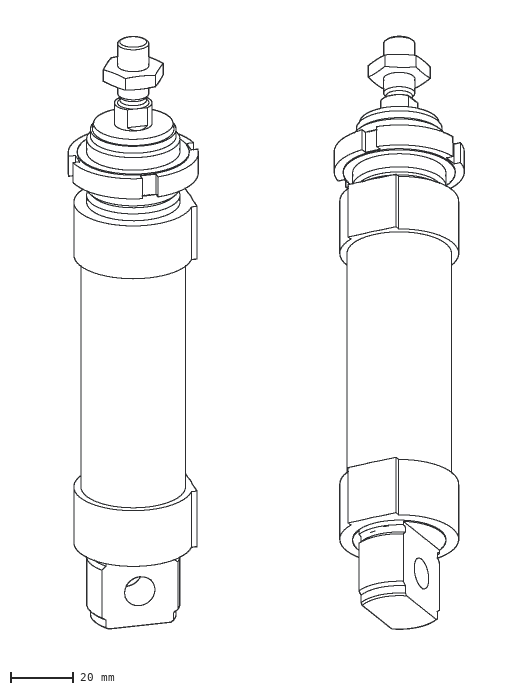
import cadquery as cq
import math


THREAD_DIA = 30.0
THREAD_RELIEF_DIA = 27.6
ROD_DIA = 12.0
ROD_THREAD_DIA = 10.0
FACE_STEP = 0.6

CAP_DIA = 38.3
TUBE_DIA = 33.7
TONGUE_THICKNESS = 16.1
PIVOT_HOLE_DIA = 10.0
PIVOT_Z = 12.0
PORT_PAD_WIDTH = 17.3
PORT_PAD_REACH = 19.0
NOSE_DIA = 26.2
NOSE_TIP_DIA = 25.5
GROOVE_FILLET = 0.6
SHOULDER_BOTTOM = 3.2
SHOULDER_TOP = 4.2
REAR_THREAD_TOP = 21.0
REAR_GROOVE_BOTTOM = 22.2
REAR_GROOVE_TOP = 24.2
TONGUE_TOP = 25.4
REAR_CAP_BOTTOM = 25.8
REAR_CAP_TOP = 45.3
FRONT_CAP_BOTTOM = 126.7
FRONT_CAP_TOP = 145.3
FRONT_GROOVE_BOTTOM = 147.7
FRONT_GROOVE_TOP = 149.3
FRONT_THREAD_BOTTOM = 150.5
FRONT_THREAD_TOP = 167.5
BEARING_BOTTOM = 168.5
BEARING_STEP_Z = 170.9
NOSE_CHAMFER_Z = 171.9
BEARING_TOP = 172.9

NUT_DIA = 42.0
NUT_FACE_DIA = 36.0
NUT_BOTTOM = 155.2
NUT_HEIGHT = 7.9
NUT_FACE_STEP = 0.5
SLOT_WIDTH = 5.2
SLOT_FLOOR_RADIUS = 18.5
SLOT_COUNT = 4

ROD_TOP = 201.5
ROD_TIP_DIA = 8.7
ROD_NECK_DIA = 8.5
ROD_FLATS = 10.0
ROD_FLATS_BOTTOM = 173.9
ROD_SHOULDER_Z = 180.1
ROD_NECK_BOTTOM = 181.0
ROD_NECK_TOP = 182.4
ROD_THREAD_BOTTOM = 183.4

LOCK_NUT_FLATS = 17.3
LOCK_NUT_BOTTOM = 188.5
LOCK_NUT_HEIGHT = 4.8
LOCK_NUT_FACE_DIA = 16.3
LOCK_NUT_CHAMFER = 0.5


def turned(profile):
    """Solid of revolution about Z from (diameter, z) points, closed along the axis."""
    points = [(diameter / 2, z) for diameter, z in profile]
    outline = [(0, points[0][1])] + points + [(0, points[-1][1])]
    return cq.Workplane("XZ").polyline(outline).close().revolve(360, (0, 0), (0, 1))


def cylinder(diameter, bottom, top):
    return cq.Workplane("XY").workplane(offset=bottom).circle(diameter / 2).extrude(top - bottom)


def block(size_x, size_y, bottom, top):
    return cq.Workplane("XY").workplane(offset=bottom).rect(size_x, size_y).extrude(top - bottom)


def groove_fillet(wall_z, direction):
    """Ring filling the root corner of a relief groove; direction points from its wall into the groove."""
    root = THREAD_RELIEF_DIA / 2
    reach = direction * GROOVE_FILLET
    bow = 1 - math.sqrt(0.5)
    return (
        cq.Workplane("XZ")
        .moveTo(root, wall_z + reach)
        .threePointArc((root + bow * GROOVE_FILLET, wall_z + bow * reach), (root + GROOVE_FILLET, wall_z))
        .lineTo(root - GROOVE_FILLET, wall_z)
        .lineTo(root - GROOVE_FILLET, wall_z + reach)
        .close()
        .revolve(360, (0, 0), (0, 1))
    )


def port_pad(bottom, top):
    """Pad that squares off the +Y side of a cap, with a flat on each side of the crown."""
    pad = block(PORT_PAD_WIDTH, PORT_PAD_REACH, bottom, top)
    return pad.translate((0, PORT_PAD_REACH / 2, 0))


def make_tongue():
    stud = turned([
        (NOSE_DIA, 0),
        (THREAD_RELIEF_DIA, FACE_STEP),
        (THREAD_RELIEF_DIA, SHOULDER_BOTTOM),
        (THREAD_DIA, SHOULDER_TOP),
        (THREAD_DIA, REAR_THREAD_TOP),
        (THREAD_RELIEF_DIA, REAR_GROOVE_BOTTOM),
        (THREAD_RELIEF_DIA, REAR_GROOVE_TOP),
        (THREAD_DIA, REAR_GROOVE_TOP),
        (THREAD_DIA, TONGUE_TOP),
    ])
    stud = stud.union(groove_fillet(REAR_GROOVE_TOP, -1))
    tongue = stud.intersect(block(TONGUE_THICKNESS, CAP_DIA, 0, TONGUE_TOP))
    pivot_hole = (
        cq.Workplane("YZ").center(0, PIVOT_Z).circle(PIVOT_HOLE_DIA / 2).extrude(CAP_DIA, both=True)
    )
    return tongue.cut(pivot_hole)


def make_body():
    body = turned([
        (THREAD_DIA, TONGUE_TOP),
        (THREAD_DIA, REAR_CAP_BOTTOM),
        (CAP_DIA, REAR_CAP_BOTTOM),
        (CAP_DIA, REAR_CAP_TOP),
        (TUBE_DIA, REAR_CAP_TOP),
        (TUBE_DIA, FRONT_CAP_BOTTOM),
        (CAP_DIA, FRONT_CAP_BOTTOM),
        (CAP_DIA, FRONT_CAP_TOP),
        (THREAD_DIA, FRONT_CAP_TOP),
        (THREAD_DIA, FRONT_GROOVE_BOTTOM),
        (THREAD_RELIEF_DIA, FRONT_GROOVE_BOTTOM),
        (THREAD_RELIEF_DIA, FRONT_GROOVE_TOP),
        (THREAD_DIA, FRONT_THREAD_BOTTOM),
        (THREAD_DIA, FRONT_THREAD_TOP),
        (THREAD_RELIEF_DIA, BEARING_BOTTOM),
        (THREAD_RELIEF_DIA, BEARING_STEP_Z),
        (NOSE_DIA, BEARING_STEP_Z),
        (NOSE_DIA, NOSE_CHAMFER_Z),
        (NOSE_TIP_DIA, BEARING_TOP),
    ])
    rod_bore = cylinder(ROD_DIA, FRONT_CAP_BOTTOM, BEARING_TOP)
    body = body.union(groove_fillet(FRONT_GROOVE_BOTTOM, 1))
    for bottom, top in ((REAR_CAP_BOTTOM, REAR_CAP_TOP), (FRONT_CAP_BOTTOM, FRONT_CAP_TOP)):
        body = body.union(port_pad(bottom, top))
    return body.union(make_tongue()).cut(rod_bore)


def make_mounting_nut():
    top = NUT_BOTTOM + NUT_HEIGHT
    nut = turned([
        (NUT_FACE_DIA, NUT_BOTTOM),
        (NUT_FACE_DIA, NUT_BOTTOM + NUT_FACE_STEP),
        (NUT_DIA, NUT_BOTTOM + NUT_FACE_STEP),
        (NUT_DIA, top - NUT_FACE_STEP),
        (NUT_FACE_DIA, top - NUT_FACE_STEP),
        (NUT_FACE_DIA, top),
    ])
    nut = nut.cut(cylinder(THREAD_DIA, NUT_BOTTOM, top))
    slot = block(NUT_DIA, SLOT_WIDTH, NUT_BOTTOM, top).translate((SLOT_FLOOR_RADIUS + NUT_DIA / 2, 0, 0))
    for index in range(SLOT_COUNT):
        nut = nut.cut(slot.rotate((0, 0, 0), (0, 0, 1), index * 360 / SLOT_COUNT))
    return nut


def make_piston_rod():
    shank = turned([
        (ROD_DIA, FRONT_CAP_BOTTOM),
        (ROD_DIA, ROD_SHOULDER_Z),
        (ROD_THREAD_DIA, ROD_SHOULDER_Z),
        (ROD_NECK_DIA, ROD_NECK_BOTTOM),
        (ROD_NECK_DIA, ROD_NECK_TOP),
        (ROD_THREAD_DIA, ROD_THREAD_BOTTOM),
        (ROD_THREAD_DIA, ROD_TOP - FACE_STEP),
        (ROD_TIP_DIA, ROD_TOP),
    ])
    half_width = ROD_FLATS / 2
    half_rod = ROD_DIA / 2
    runout_bottom = ROD_FLATS_BOTTOM - (half_rod - half_width)
    flats_envelope = (
        cq.Workplane("XZ")
        .moveTo(-half_rod, FRONT_CAP_BOTTOM)
        .lineTo(half_rod, FRONT_CAP_BOTTOM)
        .lineTo(half_rod, runout_bottom)
        .lineTo(half_width, ROD_FLATS_BOTTOM)
        .lineTo(half_width, ROD_TOP)
        .lineTo(-half_width, ROD_TOP)
        .lineTo(-half_width, ROD_FLATS_BOTTOM)
        .lineTo(-half_rod, runout_bottom)
        .close()
        .extrude(ROD_DIA, both=True)
    )
    return shank.intersect(flats_envelope)


def make_lock_nut():
    corner_dia = LOCK_NUT_FLATS / math.cos(math.pi / 6)
    top = LOCK_NUT_BOTTOM + LOCK_NUT_HEIGHT
    hexagon = (
        cq.Workplane("XY").workplane(offset=LOCK_NUT_BOTTOM)
        .polygon(6, corner_dia).extrude(LOCK_NUT_HEIGHT)
        .rotate((0, 0, 0), (0, 0, 1), 30)
    )
    corner_rounding = turned([
        (LOCK_NUT_FACE_DIA, LOCK_NUT_BOTTOM),
        (corner_dia, LOCK_NUT_BOTTOM + LOCK_NUT_CHAMFER),
        (corner_dia, top - LOCK_NUT_CHAMFER),
        (LOCK_NUT_FACE_DIA, top),
    ])
    return hexagon.intersect(corner_rounding).cut(cylinder(ROD_THREAD_DIA, LOCK_NUT_BOTTOM, top))


body = make_body()
mounting_nut = make_mounting_nut()
piston_rod = make_piston_rod()
lock_nut = make_lock_nut()

result = cq.Compound.makeCompound([
    body.val(),
    mounting_nut.val(),
    piston_rod.val(),
    lock_nut.val(),
])